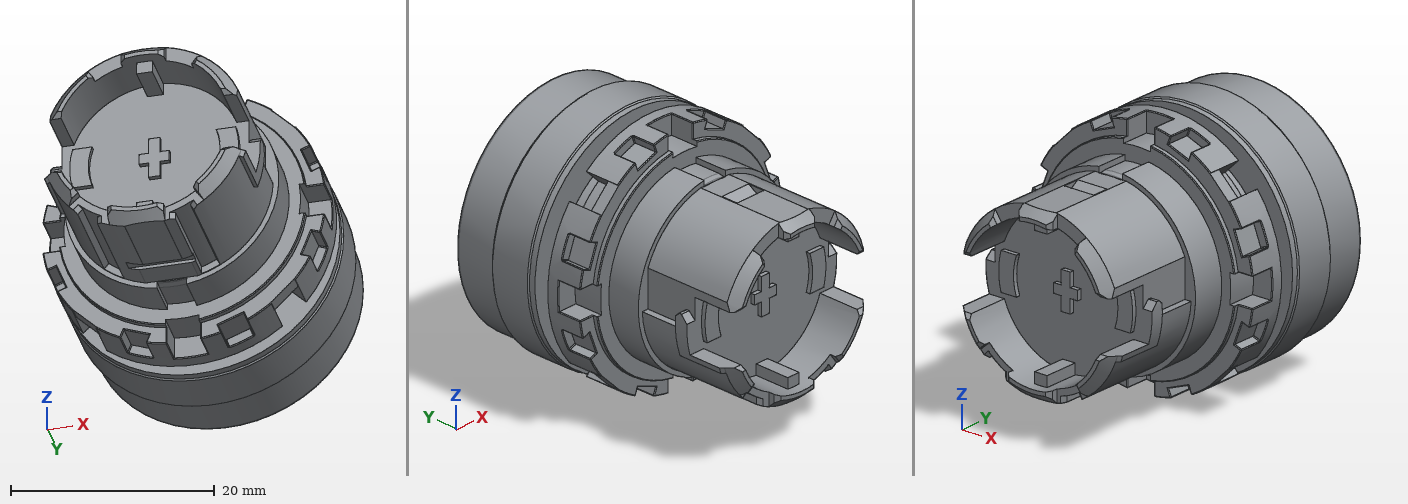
import cadquery as cq
import math


CAP_BACK = 11.15
BEZEL_CONE_BACK = 6.22
BEZEL_CONE_FRONT = 5.62
BEZEL_RIM = 0.74
SEAT = 0.0
NUT_BACK = -1.88
SOCKET_BACK = -3.3
NOTCH_FRONT = -4.78
NUT_FRONT = -6.2
COLLAR_FRONT = -6.78
NECK_FRONT = -10.8
CUP_FLOOR = -17.2
VALLEY = -21.55
CLAW_FRONT = -22.75

CAP_R = 27.6 / 2
BEZEL_R = 28.8 / 2
SEAT_R = 28.5 / 2
NECK_R = 10.85
COLLAR_R = 12.58
SOCKET_FLOOR_R = 24 / 2
SLEEVE_R = 10.3
CUP_R = 8.8
LUG_R = 10.65
CLAW_FACE_R = 9.25
CAP_EDGE_FILLET = 0.35
BEZEL_EDGE = 0.15
NUT_EDGE = 0.1
COLLAR_EDGE = 0.1

SOCKET_WIDTH = 3.4
SMALL_SOCKET_WIDTH = 2.75
SMALL_SOCKET_FLOOR = 13.35
SMALL_SOCKET_ANGLE = 21.0
NOTCH_FLAT = 14.2

KEYWAY_WIDTH = 3.0
KEYWAY_R = 10.21
KEYWAY_RAMP_BACK = -9.9
KEYWAY_RAMP_FRONT = -10.55

PAD_WIDTH = 4.0
PAD_HEIGHT = 10.1
SIDE_FLAT_X = 9.48
SIDE_FLAT_BOTTOM = -0.5
OPENING_HALF_HEIGHT = 3.05
WINDOW_WIDTH = 3.76
WINDOW_DEPTH = 0.8
WINDOW_BACK = -13.6
WINDOW_BOTTOM = -14.9
WINDOW_FRONT = -15.65
BOTTOM_FLAT_Z = -9.95
BOTTOM_NOTCH_Z = -9.6
BOTTOM_NOTCH_BACK = -13.3
BOTTOM_NOTCH_FRONT = -14.35

LUG_BACK = -15.63
LUG_TOP = 1.3
LUG_BACK_CHAMFER = 0.4
LUG_FRONT_CHAMFER = 0.8
LUG_RIB_BOTTOM = -3.75

UPPER_GAP_ANGLE = 34.5
LOWER_RIGHT_GAP_ANGLE = 36.0
LOWER_LEFT_GAP_ANGLE = 48.0
TOP_CLAW_HALF_WIDTH = 2.2
BOTTOM_CLAW_LEFT = -3.54
BOTTOM_CLAW_RIGHT = 2.11
CLAW_CORNER = 0.5
CLAW_ROOT = 7.0

GROOVE_FLOOR_R = 9.56
GROOVE_SETBACK = 0.1
GROOVE_BACK = NECK_FRONT - GROOVE_SETBACK
GROOVE_LEAD_IN = 0.42
GROOVE_LEAD_WIDTH = 0.5
LEFT_GROOVE_WALL_X = -4.85
LEFT_GROOVE_ANGLE = 41.7
RIGHT_GROOVE_WALL_X = 3.06
RIGHT_GROOVE_ANGLE = 28.6

RELIEF_HEIGHT = 0.5
RELIEF_HALF_LENGTH = 2.23
CROSS_HALF_SPAN = 1.53
CROSS_ARM_WIDTH = 1.14
SIDE_PAD_INNER_R = 6.68
SIDE_PAD_OUTER_R = 8.57
KEY_WIDTH = 1.6
KEY_INNER = 7.5
KEY_LENGTH = 4.3

CLEAR = 20.0
OVERLAP = 0.2
TOLERANCE = 0.01
RIM_DEPTH = 0.5


def plane_at(y):
    """Workplane across the axis; its local axes are X and Z and it extrudes to -Y."""
    return cq.Workplane("XZ", origin=(0, y, 0))


def disc(radius, y_back, y_front):
    return plane_at(y_back).circle(radius).extrude(y_back - y_front)


def ring(outer, inner, y_back, y_front):
    return plane_at(y_back).circle(outer).circle(inner).extrude(y_back - y_front)


def block(x_low, x_high, y_back, y_front, z_low, z_high):
    size = (x_high - x_low, y_back - y_front, z_high - z_low)
    return cq.Workplane("XY").box(*size, centered=False).translate((x_low, y_front, z_low))


def revolved(profile):
    """Solid of revolution about Y from (radius, y) points."""
    return cq.Workplane("XY").polyline(profile).close().revolve(360, (0, 0, 0), (0, 1, 0))


def turned(solid, angle):
    return solid.rotate((0, 0, 0), (0, 1, 0), angle)


def polar(radius, angle):
    """Point (x, z) at an angle measured from +Z towards +X."""
    a = math.radians(angle)
    return (radius * math.sin(a), radius * math.cos(a))


def make_head():
    head = revolved([
        (0, CAP_BACK),
        (CAP_R, CAP_BACK),
        (CAP_R, BEZEL_CONE_BACK),
        (BEZEL_R, BEZEL_CONE_FRONT),
        (BEZEL_R, BEZEL_RIM + BEZEL_EDGE),
        (SEAT_R, BEZEL_RIM),
        (SEAT_R, SEAT),
        (0, SEAT),
    ])
    return head.faces(">Y").edges().fillet(CAP_EDGE_FILLET)


def make_neck():
    neck = disc(NECK_R, SEAT, NECK_FRONT)
    half = KEYWAY_WIDTH / 2
    core = revolved([
        (0, SEAT),
        (KEYWAY_R, SEAT),
        (KEYWAY_R, KEYWAY_RAMP_BACK),
        (PAD_HEIGHT, KEYWAY_RAMP_FRONT),
        (PAD_HEIGHT, NECK_FRONT),
        (0, NECK_FRONT),
    ])
    channel = block(-half, half, SEAT, NECK_FRONT, 0, CLEAR).cut(core)
    for angle in (0, 180):
        neck = neck.cut(turned(channel, angle))
    return neck


def bevel_nut(nut):
    """Break the front rim of the nut and the edges where the sockets open through its faces."""

    def is_bevelled(edge):
        centre = edge.Center()
        on_rim = math.hypot(centre.x, centre.z) > BEZEL_R - RIM_DEPTH
        if on_rim:
            return NUT_FRONT - TOLERANCE < centre.y < SOCKET_BACK + TOLERANCE
        on_front = abs(centre.y - NUT_FRONT) < TOLERANCE
        return on_front and edge.geomType() == "LINE"

    return nut.newObject([edge for edge in nut.edges().vals() if is_bevelled(edge)]).chamfer(NUT_EDGE)


def make_nut():
    nut = revolved([
        (0, NUT_BACK),
        (BEZEL_R, NUT_BACK),
        (BEZEL_R, NUT_FRONT),
        (COLLAR_R, NUT_FRONT),
        (COLLAR_R, COLLAR_FRONT + COLLAR_EDGE),
        (COLLAR_R - COLLAR_EDGE, COLLAR_FRONT),
        (0, COLLAR_FRONT),
    ])

    half = SOCKET_WIDTH / 2
    small_half = SMALL_SOCKET_WIDTH / 2
    core = disc(SOCKET_FLOOR_R, NUT_BACK, COLLAR_FRONT)
    socket = block(-half, half, SOCKET_BACK, COLLAR_FRONT, 0, CLEAR).cut(core)
    small_socket = block(-small_half, small_half, SOCKET_BACK, NUT_FRONT, SMALL_SOCKET_FLOOR, CLEAR)
    notch = block(-half, half, NUT_BACK, NOTCH_FRONT, 0, CLEAR).cut(core)
    notch = notch.union(block(-half, half, NOTCH_FRONT, NUT_FRONT, NOTCH_FLAT, CLEAR))
    for quarter in (0, 90, 180, 270):
        nut = nut.cut(turned(socket, quarter))
        for side in (-SMALL_SOCKET_ANGLE, SMALL_SOCKET_ANGLE):
            nut = nut.cut(turned(small_socket, quarter + side))
    nut = bevel_nut(nut)
    for quarter in (0, 90, 180, 270):
        nut = nut.cut(turned(notch, quarter + 45))
    return nut


def side_leg_outline(sign_x, sign_z, gap_angle):
    """Wedge between the side opening and a ray at gap_angle from the Z axis."""
    z = OPENING_HALF_HEIGHT
    x = z * math.tan(math.radians(gap_angle))
    far_x, far_z = polar(CLEAR, gap_angle)
    points = [(x, z), (CLEAR, z), (far_x, far_z)]
    return [(sign_x * px, sign_z * pz) for px, pz in points]


def middle_claw_outline(x_low, x_high, z_near, z_far):
    return [(x_low, z_near), (x_high, z_near), (x_high, z_far), (x_low, z_far)]


def make_claw_zone():
    """Space filled by the six claws in front of the valleys, with bevelled front corners."""
    outlines = [
        middle_claw_outline(-TOP_CLAW_HALF_WIDTH, TOP_CLAW_HALF_WIDTH, CLAW_ROOT, CLEAR),
        middle_claw_outline(BOTTOM_CLAW_LEFT, BOTTOM_CLAW_RIGHT, -CLEAR, -CLAW_ROOT),
        side_leg_outline(-1, 1, UPPER_GAP_ANGLE),
        side_leg_outline(1, 1, UPPER_GAP_ANGLE),
        side_leg_outline(-1, -1, LOWER_LEFT_GAP_ANGLE),
        side_leg_outline(1, -1, LOWER_RIGHT_GAP_ANGLE),
    ]
    bevel_back = CLAW_FRONT + CLAW_CORNER
    zone = disc(CLEAR, NECK_FRONT, VALLEY)
    for outline in outlines:
        zone = zone.union(plane_at(VALLEY).polyline(outline).close().extrude(VALLEY - bevel_back))
        tapered = plane_at(bevel_back).polyline(outline).close().extrude(CLAW_CORNER, taper=45)
        zone = zone.union(tapered)
    return zone


def make_lug():
    """Right-hand lug: an L that hooks round the lower edge of the side opening."""
    outline = (
        cq.Workplane("YZ")
        .moveTo(LUG_BACK, LUG_RIB_BOTTOM)
        .lineTo(LUG_BACK, LUG_TOP - LUG_BACK_CHAMFER)
        .lineTo(LUG_BACK - LUG_BACK_CHAMFER, LUG_TOP)
        .lineTo(CUP_FLOOR + LUG_FRONT_CHAMFER, LUG_TOP)
        .lineTo(CUP_FLOOR, LUG_TOP - LUG_FRONT_CHAMFER)
        .lineTo(CUP_FLOOR, -OPENING_HALF_HEIGHT)
        .lineTo(CLAW_FRONT, -OPENING_HALF_HEIGHT)
        .lineTo(CLAW_FRONT, LUG_RIB_BOTTOM)
        .close()
        .extrude(CLEAR)
    )
    return outline.intersect(ring(LUG_R, CUP_R, NECK_FRONT, CLAW_FRONT))


def groove_sector(wall_x, angle, widening):
    """Outline between a wall parallel to Z and a radial wall, both moved out by widening."""
    side = math.copysign(1, wall_x)
    x = side * (abs(wall_x) - widening)
    spread = angle + math.degrees(widening / SLEEVE_R)
    far_x, far_z = polar(CLEAR, spread)
    meet_z = abs(x) / math.tan(math.radians(spread))
    return [(x, -meet_z), (x, -CLEAR), (side * far_x, -far_z)]


def make_groove(wall_x, angle):
    narrow = groove_sector(wall_x, angle, 0)
    wide = groove_sector(wall_x, angle, GROOVE_LEAD_WIDTH)
    groove = plane_at(GROOVE_BACK).polyline(narrow).close().extrude(GROOVE_BACK - VALLEY)
    lead_in = (
        plane_at(VALLEY + GROOVE_LEAD_IN).polyline(narrow).close()
        .workplane(offset=GROOVE_LEAD_IN).polyline(wide).close()
        .loft(ruled=True)
    )
    return groove.union(lead_in).intersect(ring(CLEAR, GROOVE_FLOOR_R, GROOVE_BACK, VALLEY))


def make_sleeve():
    sleeve = disc(SLEEVE_R, NECK_FRONT, CLAW_FRONT)
    for x_low, x_high in ((SIDE_FLAT_X, CLEAR), (-CLEAR, -SIDE_FLAT_X)):
        sleeve = sleeve.cut(block(x_low, x_high, NECK_FRONT, CLAW_FRONT, SIDE_FLAT_BOTTOM, CLEAR))

    half = PAD_WIDTH / 2
    beyond_pad = block(-half, half, NECK_FRONT, CLAW_FRONT, PAD_HEIGHT, CLEAR)
    for angle in (0, 180):
        sleeve = sleeve.cut(turned(beyond_pad, angle))

    lug = make_lug()
    sleeve = sleeve.union(lug).union(lug.mirror("YZ"))

    sleeve = sleeve.cut(disc(CUP_R, CUP_FLOOR, CLAW_FRONT))
    opening = block(-CLEAR, CLEAR, CUP_FLOOR, CLAW_FRONT, -OPENING_HALF_HEIGHT, OPENING_HALF_HEIGHT)
    sleeve = sleeve.cut(opening).intersect(make_claw_zone())

    bevel_envelope = revolved([
        (0, NECK_FRONT),
        (LUG_R, NECK_FRONT),
        (LUG_R, VALLEY + LUG_R - SLEEVE_R),
        (SLEEVE_R, VALLEY),
        (CLAW_FACE_R, CLAW_FRONT),
        (0, CLAW_FRONT),
    ])
    return sleeve.intersect(bevel_envelope)


def cut_sleeve_recesses(sleeve):
    window = (
        cq.Workplane("YZ", origin=(-WINDOW_WIDTH / 2, 0, 0))
        .moveTo(WINDOW_BACK, PAD_HEIGHT)
        .lineTo(WINDOW_BOTTOM, PAD_HEIGHT - WINDOW_DEPTH)
        .lineTo(WINDOW_FRONT, PAD_HEIGHT - WINDOW_DEPTH)
        .lineTo(WINDOW_FRONT, PAD_HEIGHT)
        .close()
        .extrude(WINDOW_WIDTH)
    )
    bottom_flat = block(-CLEAR, CLEAR, NECK_FRONT, BOTTOM_NOTCH_BACK, -CLEAR, BOTTOM_FLAT_Z)
    bottom_notch = block(-CLEAR, CLEAR, BOTTOM_NOTCH_BACK, BOTTOM_NOTCH_FRONT, -CLEAR, BOTTOM_NOTCH_Z)
    sleeve = sleeve.cut(window).cut(bottom_flat).cut(bottom_notch)
    sleeve = sleeve.cut(make_groove(LEFT_GROOVE_WALL_X, LEFT_GROOVE_ANGLE))
    return sleeve.cut(make_groove(RIGHT_GROOVE_WALL_X, RIGHT_GROOVE_ANGLE))


def make_cup_reliefs():
    back = CUP_FLOOR + OVERLAP
    front = CUP_FLOOR - RELIEF_HEIGHT
    half = RELIEF_HALF_LENGTH
    arm = CROSS_ARM_WIDTH / 2
    reliefs = block(-arm, arm, back, front, -half, half)
    reliefs = reliefs.union(block(-CROSS_HALF_SPAN, CROSS_HALF_SPAN, back, front, -arm, arm))
    band = block(-CLEAR, CLEAR, back, front, -half, half)
    reliefs = reliefs.union(ring(SIDE_PAD_OUTER_R, SIDE_PAD_INNER_R, back, front).intersect(band))

    key = block(-KEY_WIDTH / 2, KEY_WIDTH / 2, back, CUP_FLOOR - KEY_LENGTH, KEY_INNER, CUP_R + OVERLAP)
    for angle in (0, 180):
        reliefs = reliefs.union(turned(key, angle))
    return reliefs


result = (
    make_head()
    .union(make_neck())
    .union(make_nut())
    .union(cut_sleeve_recesses(make_sleeve()))
    .union(make_cup_reliefs())
)